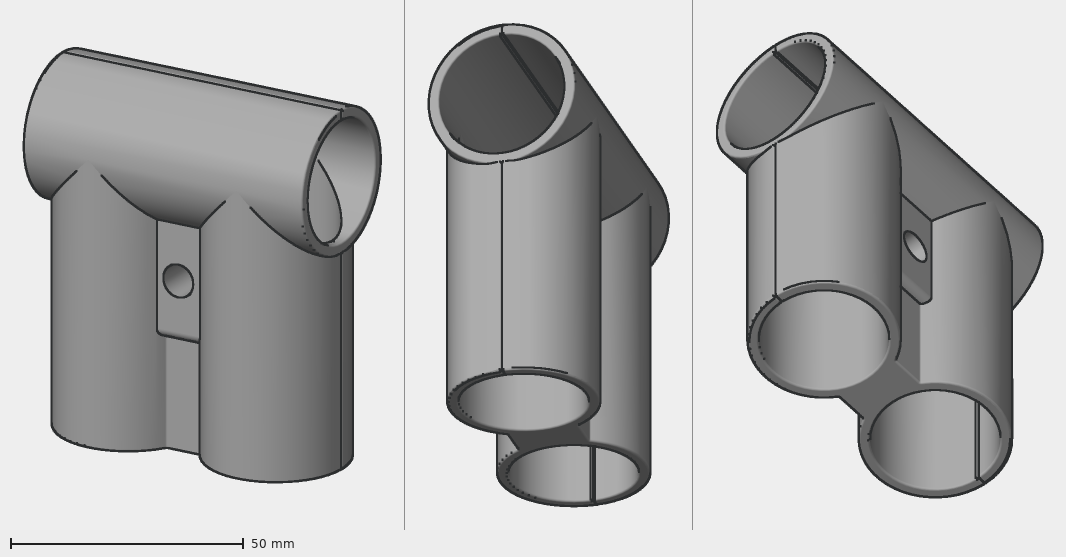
import cadquery as cq
import math

height = 82.5
length = 70.0
tube_diameter = 33.0
bore_diameter = 28.0
edge_radius = 0.5
web_thickness = 16.0
pad_thickness = 20.0
pad_bottom = 25.9
bolt_hole_diameter = 7.5
bolt_hole_height = 39.8

tube_radius = tube_diameter / 2
bore_radius = bore_diameter / 2
wall = tube_radius - bore_radius
tube_axis_height = height - tube_radius
half_length = length / 2
leg_offset = half_length - tube_radius
leg_bore_side = leg_offset + bore_radius
pad_step = (pad_thickness - web_thickness) / 2

SIDES = (-1, 1)
X_AXIS = (1, 0, 0)
Y_AXIS = (0, 1, 0)
Z_AXIS = (0, 0, 1)

ARC_MIDDLE = 1 - math.sqrt(0.5)


def cylinder(center, axis, radius, depth):
    return cq.Workplane(cq.Plane(origin=center, normal=axis)).circle(radius).extrude(depth)


def tube_and_leg_cylinders(radius):
    """Horizontal tube along X joined to the two vertical legs below it, all of one radius."""
    body = cylinder((-half_length, 0, tube_axis_height), X_AXIS, radius, length)
    for side in SIDES:
        body = body.union(cylinder((side * leg_offset, 0, 0), Z_AXIS, radius, tube_axis_height))
    return body


def wall_between_legs(thickness, bottom):
    """Flat block spanning the leg axes, from the given height up to the tube axis."""
    return cq.Workplane("XY", origin=(0, 0, bottom)).box(
        2 * leg_offset, thickness, tube_axis_height - bottom, centered=(True, True, False)
    )


def seam_groove(start, direction, inward, span):
    """Cusped groove of two back-to-back quarter rounds along a straight seam in the XZ plane."""
    plane = cq.Plane(origin=start, xDir=Y_AXIS, normal=direction)
    depth = edge_radius * plane.yDir.dot(cq.Vector(inward))
    arc_x = edge_radius * ARC_MIDDLE
    arc_y = depth * ARC_MIDDLE
    return (
        cq.Workplane(plane)
        .moveTo(-edge_radius, -depth)
        .lineTo(-edge_radius, 0)
        .threePointArc((-arc_x, arc_y), (0, depth))
        .threePointArc((arc_x, arc_y), (edge_radius, 0))
        .lineTo(edge_radius, -depth)
        .close()
        .extrude(span)
    )


def rounded_mouth(center, inward):
    """Flared cutter that rounds the rim of a bore whose mouth is at center."""
    inward = cq.Vector(inward)
    plane = cq.Plane(origin=center, xDir=Y_AXIS, normal=cq.Vector(Y_AXIS).cross(inward))
    arc_offset = edge_radius * ARC_MIDDLE
    return (
        cq.Workplane(plane)
        .lineTo(bore_radius + edge_radius, 0)
        .threePointArc((bore_radius + arc_offset, arc_offset), (bore_radius, edge_radius))
        .lineTo(0, edge_radius)
        .close()
        .revolve(360, (0, 0, 0), (0, 1, 0))
    )


def cross_tube():
    """Solid tube blank with rounded ends, seam grooves along its top and across its end faces."""
    body = cylinder((-half_length, 0, tube_axis_height), X_AXIS, tube_radius, length)
    body = body.faces("<X or >X").edges().fillet(edge_radius)
    body = body.cut(seam_groove((-half_length, 0, height), X_AXIS, (0, 0, -1), length))
    for side in SIDES:
        end_center = (side * half_length, 0, tube_axis_height)
        body = body.cut(seam_groove(end_center, Z_AXIS, (-side, 0, 0), tube_radius))
    return body


def legs():
    """Solid leg blanks with the web between them, a thicker pad on the web, and outer seam grooves."""
    body = wall_between_legs(web_thickness, 0)
    for side in SIDES:
        body = body.union(cylinder((side * leg_offset, 0, 0), Z_AXIS, tube_radius, tube_axis_height))

    corner_x = leg_offset - math.sqrt(tube_radius**2 - (web_thickness / 2) ** 2)
    for x_side in SIDES:
        for y_side in SIDES:
            corner = (x_side * corner_x, y_side * web_thickness / 2, tube_axis_height / 2)
            body = body.edges(cq.NearestToPointSelector(corner)).fillet(edge_radius)
    body = body.faces("<Z").edges().fillet(edge_radius)

    pad = wall_between_legs(pad_thickness, pad_bottom).faces("<Z").edges("|X").fillet(pad_step)
    body = body.union(pad)

    for side in SIDES:
        base = (side * half_length, 0, 0)
        body = body.cut(seam_groove(base, Z_AXIS, (-side, 0, 0), tube_axis_height))
    return body


result = cross_tube().union(legs())

result = result.cut(tube_and_leg_cylinders(bore_radius))
for side in SIDES:
    result = result.cut(rounded_mouth((side * half_length, 0, tube_axis_height), (-side, 0, 0)))
    result = result.cut(rounded_mouth((side * leg_offset, 0, 0), Z_AXIS))

bore_top = tube_axis_height + bore_radius
bore_bottom = tube_axis_height - bore_radius
result = result.cut(seam_groove((-half_length, 0, bore_top), X_AXIS, Z_AXIS, length))
for side in SIDES:
    bore_side = (side * leg_bore_side, 0, 0)
    result = result.cut(seam_groove(bore_side, Z_AXIS, (side, 0, 0), bore_bottom))
    result = result.cut(seam_groove(bore_side, (side, 0, 0), Z_AXIS, wall))

hole_start = (0, -pad_thickness / 2, bolt_hole_height)
result = result.cut(cylinder(hole_start, Y_AXIS, bolt_hole_diameter / 2, pad_thickness))